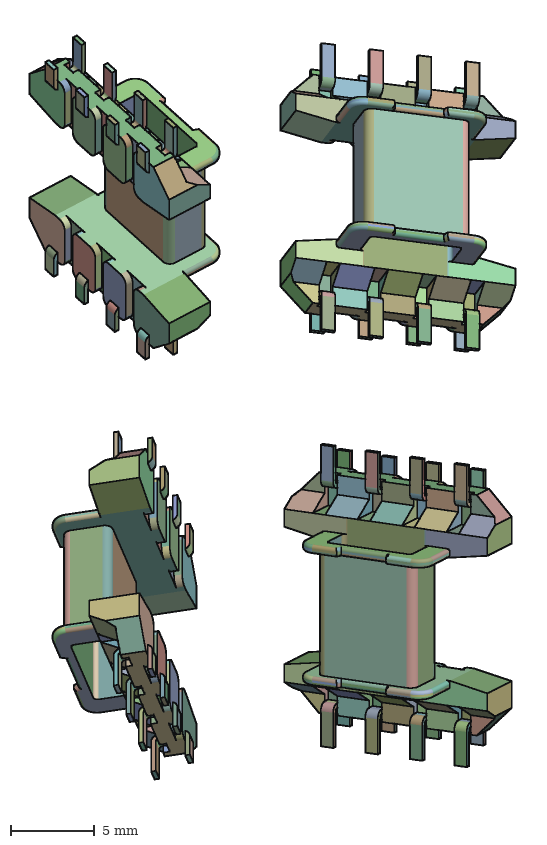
import cadquery as cq


tube_width = 6.55
tube_depth = 3.0
tube_corner_radius = 0.5
wall = 0.41
window_corner_radius = 0.26
winding_half_height = 3.8

flange_width = 8.65
flange_back = 2.05
flange_thickness = 0.54
flange_corner_radius = 1.0
flange_edge_radius = 0.2
notch_depth = 0.34
notch_mouth_width = 3.32
notch_floor_width = 3.02

block_width = 13.7
block_back = -1.08
block_front = -4.18
block_top = 7.44
block_corner_chamfer = 1.53
underside_flat_width = 8.65
underside_rise = 0.45
ledge_back = -2.61
ledge_bottom = 6.23
slope_bottom = 5.35

pin_count = 4
pin_pitch = 3.0
pin_width = 0.84
pin_thickness = 0.3
pin_bend_radius = 0.48
pin_bottom = 6.65
rear_pin_top = 9.32
front_pin_top = 8.5
rear_pin_back = -2.09
front_pin_front = -4.47

pin_slot_end = -3.02
wire_groove_width = 0.78
wire_groove_depth = 0.5
wire_groove_flare_radius = 0.52


def row(count):
    """X places of a centred row at the pin pitch."""
    return [(i - (count - 1) / 2) * pin_pitch for i in range(count)]


def span_box(width, y_range, z_range):
    """Box centred on X between the given Y and Z limits."""
    depth = y_range[1] - y_range[0]
    height = z_range[1] - z_range[0]
    return (
        cq.Workplane("XY", origin=(0, y_range[0], z_range[0]))
        .box(width, depth, height, centered=(True, False, False))
    )


def rounded_bar(width, depth, radius, height):
    """Bar about the Z axis, standing on Z = 0, with rounded long edges."""
    return (
        cq.Workplane("XY")
        .box(width, depth, height, centered=(True, True, False))
        .edges("|Z")
        .fillet(radius)
    )


def make_flange():
    """Flange plate with rounded rear corners, a notch in its back and rounded edges."""
    half_width = flange_width / 2
    half_mouth = notch_mouth_width / 2
    half_floor = notch_floor_width / 2
    notch_floor = flange_back - notch_depth
    plate_front = (block_back + ledge_back) / 2
    plate = (
        cq.Workplane("XY", origin=(0, 0, winding_half_height))
        .moveTo(-half_width, plate_front)
        .lineTo(-half_width, flange_back - flange_corner_radius)
        .radiusArc((-half_width + flange_corner_radius, flange_back), flange_corner_radius)
        .lineTo(-half_mouth, flange_back)
        .lineTo(-half_floor, notch_floor)
        .lineTo(half_floor, notch_floor)
        .lineTo(half_mouth, flange_back)
        .lineTo(half_width - flange_corner_radius, flange_back)
        .radiusArc((half_width, flange_back - flange_corner_radius), flange_corner_radius)
        .lineTo(half_width, plate_front)
        .close()
        .extrude(flange_thickness)
    )
    front_edges = cq.selectors.BoxSelector(
        (-half_width, ledge_back, 0), (half_width, block_back, block_top)
    )
    rounded_edges = cq.selectors.InverseSelector(front_edges)
    return plate.faces("|Z").edges(rounded_edges).fillet(flange_edge_radius)


def make_block():
    """Terminal block: its front outline crossed with its stepped side profile."""
    half_width = block_width / 2
    half_flat = underside_flat_width / 2
    half_top = half_width - block_corner_chamfer
    front_outline = (
        cq.Workplane("XZ", origin=(0, block_back, 0))
        .polyline(
            [
                (-half_flat, winding_half_height),
                (half_flat, winding_half_height),
                (half_width, winding_half_height + underside_rise),
                (half_width, block_top - block_corner_chamfer),
                (half_top, block_top),
                (-half_top, block_top),
                (-half_width, block_top - block_corner_chamfer),
                (-half_width, winding_half_height + underside_rise),
            ]
        )
        .close()
        .extrude(block_back - block_front)
    )
    side_profile = (
        cq.Workplane("YZ")
        .polyline(
            [
                (block_front, winding_half_height),
                (block_back, winding_half_height),
                (block_back, slope_bottom),
                (ledge_back, ledge_bottom),
                (ledge_back, block_top),
                (block_front, block_top),
            ]
        )
        .close()
        .extrude(half_width, both=True)
    )
    return front_outline.intersect(side_profile)


def make_wire_groove():
    """Vertical groove in the block front, flaring at both ends."""
    half_width = wire_groove_width / 2
    half_mouth = half_width + wire_groove_flare_radius
    low = winding_half_height
    high = block_top
    radius = wire_groove_flare_radius
    return (
        cq.Workplane("XZ", origin=(0, block_front + wire_groove_depth, 0))
        .moveTo(-half_mouth, low)
        .radiusArc((-half_width, low + radius), -radius)
        .lineTo(-half_width, high - radius)
        .radiusArc((-half_mouth, high), -radius)
        .lineTo(half_mouth, high)
        .radiusArc((half_width, high - radius), -radius)
        .lineTo(half_width, low + radius)
        .radiusArc((half_mouth, low), -radius)
        .close()
        .extrude(wire_groove_depth)
    )


def make_pin():
    """U-shaped flat pin: rear leg, crossbar through the block, shorter front leg."""
    inner_back = rear_pin_back - pin_thickness
    inner_front = front_pin_front + pin_thickness
    inner_bottom = pin_bottom + pin_thickness
    inner_radius = pin_bend_radius - pin_thickness
    outside = span_box(pin_width, (front_pin_front, rear_pin_back), (pin_bottom, rear_pin_top))
    inside = span_box(pin_width, (inner_front, inner_back), (inner_bottom, rear_pin_top))
    above_front_leg = span_box(pin_width, (front_pin_front, inner_front), (front_pin_top, rear_pin_top))
    outside = outside.edges("|X and <Z").fillet(pin_bend_radius)
    inside = inside.edges("|X and <Z").fillet(inner_radius)
    return outside.cut(inside).cut(above_front_leg)


def make_upper_end():
    """Flange, terminal block and pins at the +Z end."""
    end = make_flange().union(make_block())
    for x in row(pin_count - 1):
        end = end.cut(make_wire_groove().translate((x, 0, 0)))
    pin_slot = span_box(pin_width, (pin_slot_end, block_back), (slope_bottom, block_top))
    for x in row(pin_count):
        end = end.cut(pin_slot.translate((x, 0, 0)))
        end = end.union(make_pin().translate((x, 0, 0)))
    return end


upper_end = make_upper_end()
tube = rounded_bar(tube_width, tube_depth, tube_corner_radius, winding_half_height)
upper_half = upper_end.union(tube)
window = rounded_bar(tube_width - 2 * wall, tube_depth - 2 * wall, window_corner_radius, block_top)
upper_half = upper_half.cut(window)

result = upper_half.union(upper_half.mirror("XY"))